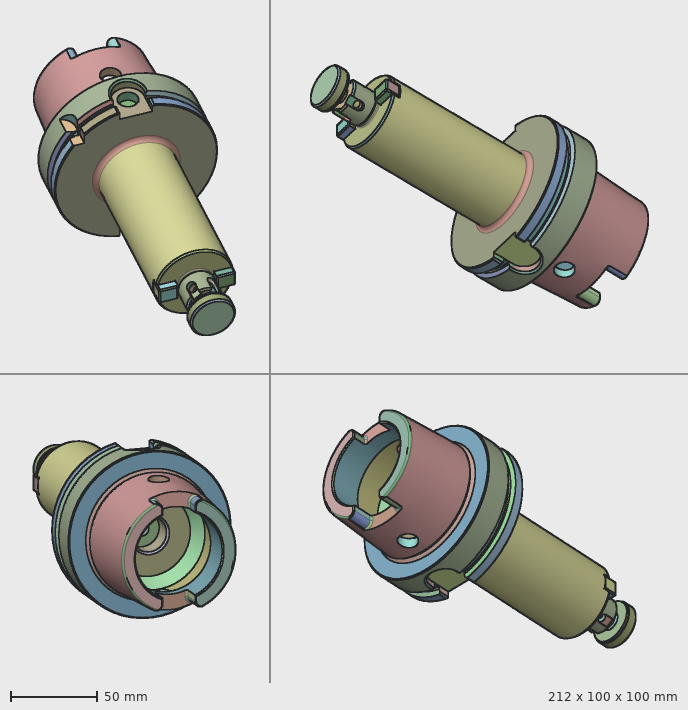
import cadquery as cq
import math


shank_length = 50.0
shank_tip_radius = 35.2
shank_base_radius = 38.0
shank_tip_fillet = 1.3
taper_end_x = 47.3
neck_start_x = 48.0
neck_end_x = 48.5
neck_radius = 36.9
neck_flare_radius = 39.5

mouth_radius = 27.5
mouth_chamfer = 0.8
bore_radius = mouth_radius - mouth_chamfer
bore_straight_depth = 20.5
undercut_radius = 30.7
undercut_start_x = 22.3
undercut_end_x = 41.3
bore_floor_radius = 24.8
bore_floor_depth = 49.8
coolant_bore_mouth_radius = 11.9
coolant_bore_radius = 10.5
coolant_bore_chamfer = coolant_bore_mouth_radius - coolant_bore_radius
coolant_bore_depth = 63.5
pilot_hole_radius = 4.2

keyway_half_width = 10.0
keyway_corner_fillet = 3.5
keyway_floor_fillet = 1.3
keyway_edge_chamfer = 0.6
keyway_depth_top = 10.0
keyway_depth_bottom = 14.5
clamp_hole_x = 34.8
clamp_hole_radius = 6.1

flange_radius = 50.0
flange_width = 29.0
flange_end_x = shank_length + flange_width
flange_chamfer = 0.6
groove_left_x = 66.5
groove_right_x = 72.7
groove_floor_left_x = 67.8
groove_floor_right_x = 71.5
groove_floor_radius = 45.5
groove_overcut = 2.1
groove_wall_radius = 47.3

slot_half_width = 10.0
slot_start_x = 55.0
slot_floor_height = 43.9
slot_rim_chamfer = 1.3
chip_hole_x = 64.9
chip_hole_radius = 6.1
chip_hole_depth = 6.4

notch_offset = 31.8
notch_start_x = 55.1
notch_corner_radius = 9.1

body_radius = 24.0
body_fillet = 3.0
shoulder_x = 179.8
shoulder_chamfer_length = 1.3
shoulder_chamfer_height = 0.8
relief_radius = 10.4
relief_ramp_x = 181.7
relief_end_x = 182.7
relief_fillet = 0.6
spigot_radius = 11.2
spigot_end_x = 198.6
spigot_chamfer = 1.0

groove_angle = 35.0
groove_width = 5.7
groove_start_x = 188.3
groove_base_radius = 8.5
coolant_outlet_radius = 2.8

key_width = 10.2
key_start_x = 174.7
key_end_x = 184.7
key_inner_y = 11.9
key_outer_y = 23.5
key_chamfer = 0.8

screw_radius = 4.9
screw_start_x = 127.2
head_start_x = 204.0
head_radius = 13.8
head_step = 0.6
head_step_length = 1.5
head_chamfer = 1.0
screw_end_x = 212.0
screw_collar_radius = 6.0
screw_collar_length = 1.3


def turned(points):
    """Solid of revolution about X from an outline of (x, radius) points."""
    return cq.Workplane("XY").polyline(points).close().revolve(360, (0, 0, 0), (1, 0, 0))


def shank_blank():
    outline = (
        cq.Workplane("XY")
        .moveTo(0, 0)
        .lineTo(0, shank_tip_radius - shank_tip_fillet)
        .radiusArc((shank_tip_fillet, shank_tip_radius), shank_tip_fillet)
        .lineTo(taper_end_x, shank_base_radius)
        .lineTo(neck_start_x, neck_radius)
        .lineTo(neck_end_x, neck_radius)
        .lineTo(shank_length, neck_flare_radius)
        .lineTo(shank_length, 0)
        .close()
    )
    return outline.revolve(360, (0, 0, 0), (1, 0, 0))


def keyway_outline(side, plane_x):
    """Keyway section whose walls round outwards into the surface of the shank."""
    fillet = keyway_corner_fillet
    centre_y = keyway_half_width + fillet
    centre_distance = shank_tip_radius - fillet
    centre_z = math.sqrt(centre_distance ** 2 - centre_y ** 2)
    tangent_scale = shank_tip_radius / centre_distance
    outer_scale = flange_radius / centre_distance
    return (
        cq.Workplane("YZ", origin=(plane_x, 0, 0))
        .moveTo(-keyway_half_width, 0)
        .lineTo(-keyway_half_width, side * centre_z)
        .radiusArc(
            (-centre_y * tangent_scale, side * centre_z * tangent_scale),
            -side * fillet,
        )
        .lineTo(-centre_y * outer_scale, side * centre_z * outer_scale)
        .lineTo(centre_y * outer_scale, side * centre_z * outer_scale)
        .lineTo(centre_y * tangent_scale, side * centre_z * tangent_scale)
        .radiusArc((keyway_half_width, side * centre_z), -side * fillet)
        .lineTo(keyway_half_width, 0)
        .close()
    )


def keyway_cutter(side, depth):
    """Keyway with a rounded floor edge and a bevelled front edge."""
    keyway = keyway_outline(side, 0).extrude(depth).faces(">X").edges().fillet(keyway_floor_fillet)
    bevel = keyway_outline(side, keyway_edge_chamfer).extrude(-keyway_edge_chamfer, taper=-45)
    return keyway.union(bevel)


def add_keyways(shank):
    for side, depth in ((1, keyway_depth_top), (-1, keyway_depth_bottom)):
        shank = shank.cut(keyway_cutter(side, depth))
    return shank


def bore_cutter():
    """Shank bore, coolant bore and pilot hole for the screw, in one turned shape."""
    return turned([
        (0, 0),
        (0, mouth_radius),
        (mouth_chamfer, bore_radius),
        (bore_straight_depth, bore_radius),
        (undercut_start_x, undercut_radius),
        (undercut_end_x, undercut_radius),
        (bore_floor_depth, bore_floor_radius),
        (bore_floor_depth, coolant_bore_mouth_radius),
        (bore_floor_depth + coolant_bore_chamfer, coolant_bore_radius),
        (coolant_bore_depth, coolant_bore_radius),
        (coolant_bore_depth, pilot_hole_radius),
        (screw_start_x, pilot_hole_radius),
        (screw_start_x, screw_radius),
        (spigot_end_x, screw_radius),
        (spigot_end_x, 0),
    ])


def flange_slot_cutter():
    """Round-ended slot above the slot floor, open towards the arbor body."""
    return (
        cq.Workplane("XY", origin=(0, 0, slot_floor_height))
        .moveTo(flange_end_x, -slot_half_width)
        .lineTo(slot_start_x + slot_half_width, -slot_half_width)
        .threePointArc(
            (slot_start_x, 0),
            (slot_start_x + slot_half_width, slot_half_width),
        )
        .lineTo(flange_end_x, slot_half_width)
        .close()
        .extrude(flange_radius)
    )


def chip_hole_cutter():
    return (
        cq.Workplane("XY", origin=(chip_hole_x, 0, slot_floor_height - chip_hole_depth))
        .circle(chip_hole_radius)
        .extrude(chip_hole_depth)
    )


def notch_cutter():
    """Square notch with a rounded inner corner on its closed end."""
    return (
        cq.Workplane("XY", origin=(0, 0, notch_offset))
        .moveTo(flange_end_x, -notch_offset)
        .lineTo(notch_start_x + notch_corner_radius, -notch_offset)
        .radiusArc(
            (notch_start_x, -notch_offset - notch_corner_radius),
            -notch_corner_radius,
        )
        .lineTo(notch_start_x, -flange_radius)
        .lineTo(flange_end_x, -flange_radius)
        .close()
        .extrude(flange_radius)
    )


def gripper_groove_cutter():
    return turned([
        (groove_floor_left_x, groove_floor_radius),
        (groove_floor_left_x, groove_wall_radius),
        (groove_left_x, flange_radius),
        (groove_left_x, flange_radius + groove_overcut),
        (groove_right_x, flange_radius + groove_overcut),
        (groove_right_x, flange_radius),
        (groove_floor_right_x, groove_wall_radius),
        (groove_floor_right_x, groove_floor_radius),
    ])


def slot_rim_selector(side):
    """Edges where the flange slot on one side meets the rim."""
    return cq.selectors.BoxSelector(
        (shank_length + slot_rim_chamfer, -flange_radius / 2, side * (flange_radius - slot_rim_chamfer)),
        (flange_end_x - slot_rim_chamfer, flange_radius / 2, side * flange_radius),
    )


def make_flange():
    flange = (
        cq.Workplane("YZ", origin=(shank_length, 0, 0))
        .circle(flange_radius)
        .extrude(flange_width)
        .faces("<X or >X")
        .chamfer(flange_chamfer)
    )
    slot = flange_slot_cutter()
    flange = flange.cut(slot).cut(slot.mirror("XY"))
    for side in (1, -1):
        flange = flange.edges(slot_rim_selector(side)).chamfer(slot_rim_chamfer)
    flange = flange.cut(chip_hole_cutter())
    flange = flange.cut(notch_cutter())
    return flange.cut(gripper_groove_cutter())


def arbor_blank():
    outline = (
        cq.Workplane("XY")
        .moveTo(flange_end_x, 0)
        .lineTo(flange_end_x, body_radius + body_fillet)
        .radiusArc((flange_end_x + body_fillet, body_radius), -body_fillet)
        .lineTo(shoulder_x - shoulder_chamfer_length, body_radius)
        .lineTo(shoulder_x, body_radius - shoulder_chamfer_height)
        .lineTo(shoulder_x, relief_radius + relief_fillet)
        .radiusArc((shoulder_x + relief_fillet, relief_radius), -relief_fillet)
        .lineTo(relief_ramp_x, relief_radius)
        .lineTo(relief_end_x, spigot_radius)
        .lineTo(spigot_end_x - spigot_chamfer, spigot_radius)
        .lineTo(spigot_end_x, spigot_radius - spigot_chamfer)
        .lineTo(spigot_end_x, 0)
        .close()
    )
    return outline.revolve(360, (0, 0, 0), (1, 0, 0))


def coolant_groove_cutter(angle):
    """Round-ended groove along the spigot and the outlet hole that feeds it."""
    end_centre_x = groove_start_x + groove_width / 2
    groove_length = spigot_end_x - groove_start_x + groove_width
    groove = (
        cq.Workplane("XY", origin=(0, 0, groove_base_radius))
        .center(groove_start_x + groove_length / 2, 0)
        .slot2D(groove_length, groove_width)
        .extrude(spigot_radius)
    )
    outlet = (
        cq.Workplane("XY")
        .center(end_centre_x, 0)
        .circle(coolant_outlet_radius)
        .extrude(groove_base_radius)
    )
    return groove.union(outlet).rotate((0, 0, 0), (1, 0, 0), angle)


def key_seat_cutter(side):
    """Open seat for one drive key across the shoulder of the arbor body."""
    return (
        cq.Workplane("XY")
        .box(
            shoulder_x - key_start_x,
            body_radius - key_inner_y,
            key_width,
            centered=(False, False, True),
        )
        .translate((key_start_x, key_inner_y, 0))
        .rotate((0, 0, 0), (1, 0, 0), 0 if side > 0 else 180)
    )


def make_holder():
    clamp_hole = (
        cq.Workplane("XY", origin=(clamp_hole_x, 0, -flange_radius))
        .circle(clamp_hole_radius)
        .extrude(2 * flange_radius)
    )
    shank = add_keyways(shank_blank()).cut(clamp_hole)
    holder = shank.union(make_flange()).union(arbor_blank())
    holder = holder.cut(bore_cutter())
    for angle in (groove_angle, -groove_angle, 180 - groove_angle, 180 + groove_angle):
        holder = holder.cut(coolant_groove_cutter(angle))
    for side in (1, -1):
        holder = holder.cut(key_seat_cutter(side))
    return holder


def make_key(side):
    """Square drive key with bevelled front and outer faces, on the +Y or -Y side."""
    return (
        cq.Workplane("XY")
        .box(
            key_end_x - key_start_x,
            key_outer_y - key_inner_y,
            key_width,
            centered=(False, False, True),
        )
        .faces(">X or >Y")
        .chamfer(key_chamfer)
        .translate((key_start_x, key_inner_y, 0))
        .rotate((0, 0, 0), (1, 0, 0), 0 if side > 0 else 180)
    )


def make_clamping_screw():
    return turned([
        (screw_start_x, 0),
        (screw_start_x, screw_radius),
        (head_start_x - screw_collar_length, screw_radius),
        (head_start_x, screw_collar_radius),
        (head_start_x, head_radius - head_step),
        (head_start_x + head_step_length, head_radius - head_step),
        (head_start_x + head_step_length, head_radius),
        (screw_end_x - head_chamfer, head_radius),
        (screw_end_x, head_radius - head_chamfer),
        (screw_end_x, 0),
    ])


holder = make_holder()
keys = [make_key(side) for side in (1, -1)]
clamping_screw = make_clamping_screw()

result = cq.Compound.makeCompound([
    holder.val(),
    *[key.val() for key in keys],
    clamping_screw.val(),
])